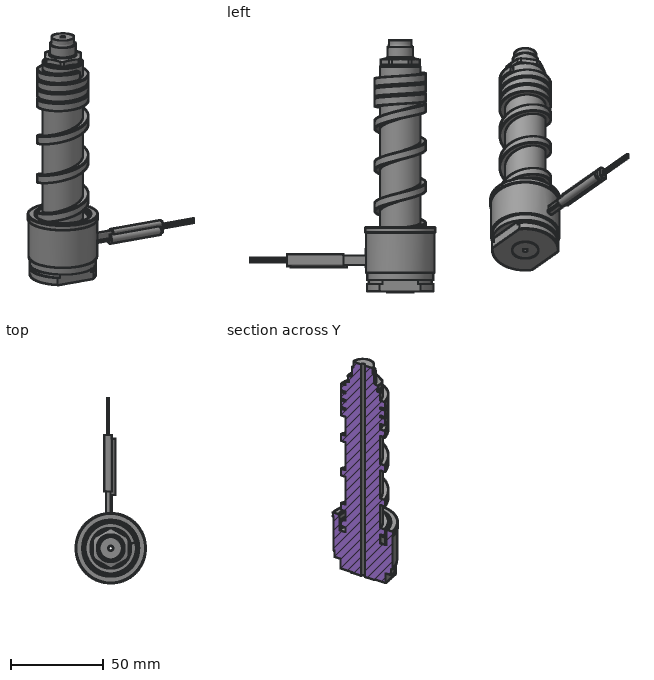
import cadquery as cq
import math

FOOT_BOTTOM = 0.4
FOOT_TOP = 4.6
FLANGE_BOTTOM = 6.6
BODY_BOTTOM = 10.5
COLLAR_BOTTOM = 32.1
COLLAR_TOP = 35.2
SHAFT_TOP = 122.1
HEX_BOTTOM = 122.9
HEX_TOP = 125.6
CONE_TOP = 126.35
FITTING_BOTTOM = 126.9
FITTING_TOP = 132.3
TIP_BOTTOM = 133.6
TIP_TOP = 136.2

PAD_RADIUS = 7.1
FOOT_RADIUS = 18.0
FOOT_GROOVE_RADIUS = 17.1
FLANGE_RADIUS = 17.9
BODY_RADIUS = 18.6
COLLAR_RADIUS = 19.0
POCKET_RADIUS = 14.7
SHAFT_RADIUS = 11.0
NECK_RADIUS = 9.0
FITTING_RADIUS = 7.0
CONE_TOP_RADIUS = 7.5
TIP_NECK_RADIUS = 6.4
TIP_RADIUS = 6.1
BORE_RADIUS = 1.25

EDGE_CHAMFER = 0.4
POCKET_CHAMFER = 0.7
FOOT_WIDTH = 28.4

HEX_ACROSS_FLATS = 19.2
HEX_CORNER_RADIUS = 10.6
HEX_TURN = 30

SPRING_OUTER_RADIUS = 13.9
SPRING_OVERLAP = 0.3
COIL_HEIGHT = 4.6
COIL_CHAMFER = 0.3
CLOSED_PITCH = 5.36
OPEN_PITCH = 22.2
SPRING_TOP_ANGLE = 13.0
SPRING_TOP_Z = 117.5
TOP_CLOSED_SWEEP = 1150.0
TRANSITION_SWEEP = 139.0
OPEN_SWEEP = 924.0
BOTTOM_CLOSED_SWEEP = 360.0
SPLINE_STEP = 15.0

LEAD_X = -1.43
LEAD_Z = 17.4
LEAD_START = 17.0
LEAD_WIDTH = 2.45
LEAD_HEIGHT = 5.2
LEAD_CORNER = 0.5
SLEEVE_START = 30.7
SLEEVE_END = 61.1
SLEEVE_WIDTH = 4.15
SLEEVE_HEIGHT = 6.6
SLEEVE_CORNER = 1.25
WIRE_END = 81.0
WIRE_RADIUS = 0.5
WIRE_SPACING = 1.7

SIDE_WIRE_X = 0.1
SIDE_WIRE_Z = 15.95
SIDE_SLEEVE_RADIUS = 2.55
SIDE_SLEEVE_SETBACK = 2.0


def spring_drop(turned):
    """Height lost by the wire after turning this many degrees down from its top end."""
    stages = [
        (TOP_CLOSED_SWEEP, CLOSED_PITCH, CLOSED_PITCH),
        (TRANSITION_SWEEP, CLOSED_PITCH, OPEN_PITCH),
        (OPEN_SWEEP, OPEN_PITCH, OPEN_PITCH),
        (TRANSITION_SWEEP, OPEN_PITCH, CLOSED_PITCH),
        (BOTTOM_CLOSED_SWEEP, CLOSED_PITCH, CLOSED_PITCH),
    ]
    drop = 0.0
    for sweep, start_pitch, end_pitch in stages:
        part = min(max(turned, 0.0), sweep)
        pitch_here = start_pitch + (end_pitch - start_pitch) * part / sweep
        drop += (start_pitch + pitch_here) / 2 * part / 360
        turned -= sweep
    return drop


SPRING_SWEEP = TOP_CLOSED_SWEEP + 2 * TRANSITION_SWEEP + OPEN_SWEEP + BOTTOM_CLOSED_SWEEP
SPRING_BOTTOM_Z = SPRING_TOP_Z - spring_drop(SPRING_SWEEP)
POCKET_FLOOR = SPRING_BOTTOM_Z - COIL_HEIGHT / 2


def revolve_profile(points):
    return cq.Workplane("XZ").polyline(points).close().revolve(360, (0, 0, 0), (0, 1, 0))


def make_body():
    """Housing with its foot, flange, collar and the spring pocket around the shaft."""
    body = revolve_profile([
        (0, 0),
        (PAD_RADIUS, 0),
        (PAD_RADIUS, FOOT_BOTTOM),
        (FOOT_RADIUS - EDGE_CHAMFER, FOOT_BOTTOM),
        (FOOT_RADIUS, FOOT_BOTTOM + EDGE_CHAMFER),
        (FOOT_RADIUS, FOOT_TOP),
        (FOOT_GROOVE_RADIUS, FOOT_TOP),
        (FOOT_GROOVE_RADIUS, FLANGE_BOTTOM),
        (FLANGE_RADIUS, FLANGE_BOTTOM),
        (FLANGE_RADIUS, BODY_BOTTOM),
        (BODY_RADIUS - EDGE_CHAMFER, BODY_BOTTOM),
        (BODY_RADIUS, BODY_BOTTOM + EDGE_CHAMFER),
        (BODY_RADIUS, COLLAR_BOTTOM),
        (COLLAR_RADIUS, COLLAR_BOTTOM + EDGE_CHAMFER),
        (COLLAR_RADIUS, COLLAR_TOP - EDGE_CHAMFER),
        (COLLAR_RADIUS - EDGE_CHAMFER, COLLAR_TOP),
        (POCKET_RADIUS + POCKET_CHAMFER, COLLAR_TOP),
        (POCKET_RADIUS, COLLAR_TOP - POCKET_CHAMFER),
        (POCKET_RADIUS, POCKET_FLOOR),
        (0, POCKET_FLOOR),
    ])
    side_width = 2 * COLLAR_RADIUS
    for side in (-1, 1):
        flat_cut = cq.Workplane("XY").box(side_width, side_width, FLANGE_BOTTOM, centered=(True, True, False))
        body = body.cut(flat_cut.translate((side * (FOOT_WIDTH + side_width) / 2, 0, 0)))
    return body


def make_shaft():
    """Shaft from the pocket floor up to the stepped tip, without the hexagon."""
    return revolve_profile([
        (0, POCKET_FLOOR),
        (SHAFT_RADIUS, POCKET_FLOOR),
        (SHAFT_RADIUS, SHAFT_TOP - EDGE_CHAMFER),
        (SHAFT_RADIUS - EDGE_CHAMFER, SHAFT_TOP),
        (NECK_RADIUS, SHAFT_TOP),
        (NECK_RADIUS, HEX_BOTTOM),
        (FITTING_RADIUS, HEX_BOTTOM),
        (FITTING_RADIUS, FITTING_TOP),
        (TIP_NECK_RADIUS, FITTING_TOP),
        (TIP_RADIUS, TIP_BOTTOM),
        (TIP_RADIUS, TIP_TOP),
        (0, TIP_TOP),
    ])


def make_hexagon():
    """Hexagon with flats facing +X and -X, under a shallow conical top."""
    blank = revolve_profile([
        (0, HEX_BOTTOM),
        (HEX_CORNER_RADIUS, HEX_BOTTOM),
        (HEX_CORNER_RADIUS, HEX_TOP),
        (CONE_TOP_RADIUS, CONE_TOP),
        (FITTING_RADIUS, FITTING_BOTTOM),
        (0, FITTING_BOTTOM),
    ])
    across_corners = HEX_ACROSS_FLATS / math.cos(math.radians(HEX_TURN))
    prism = cq.Workplane("XY").polygon(6, across_corners).extrude(TIP_TOP)
    return blank.intersect(prism.rotate((0, 0, 0), (0, 0, 1), HEX_TURN))


def coil_point(turned, radius, rise):
    """Point on the coil at a radius, raised by rise above the middle of the wire."""
    angle = math.radians(SPRING_TOP_ANGLE - turned)
    height = SPRING_TOP_Z - spring_drop(turned) + rise
    return cq.Vector(radius * math.cos(angle), radius * math.sin(angle), height)


def make_spring():
    """Rectangular wire with chamfered outer edges, coiled around the shaft, closing up at both ends."""
    inner_radius = SHAFT_RADIUS - SPRING_OVERLAP
    half_height = COIL_HEIGHT / 2
    corners = [
        (inner_radius, -half_height),
        (SPRING_OUTER_RADIUS - COIL_CHAMFER, -half_height),
        (SPRING_OUTER_RADIUS, COIL_CHAMFER - half_height),
        (SPRING_OUTER_RADIUS, half_height - COIL_CHAMFER),
        (SPRING_OUTER_RADIUS - COIL_CHAMFER, half_height),
        (inner_radius, half_height),
    ]
    step_count = round(SPRING_SWEEP / SPLINE_STEP)
    turns = [SPRING_SWEEP * step / step_count for step in range(step_count + 1)]
    edges = [
        cq.Edge.makeSpline([coil_point(turned, radius, rise) for turned in turns])
        for radius, rise in corners
    ]
    faces = [cq.Face.makeRuledSurface(edges[i - 1], edges[i]) for i in range(len(edges))]
    for end in (0, SPRING_SWEEP):
        end_corners = [coil_point(end, radius, rise) for radius, rise in corners]
        faces.append(cq.Face.makeFromWires(cq.Wire.makePolygon(end_corners, close=True)))
    return cq.Workplane(cq.Solid.makeSolid(cq.Shell.makeShell(faces)))


def rounded_bar(width, height, corner, start, end):
    """Bar along Y on the lead's centre line, with its long edges rounded."""
    bar = cq.Workplane("XY").box(width, end - start, height).edges("|Y").fillet(corner)
    return bar.translate((LEAD_X, (start + end) / 2, LEAD_Z))


def round_rod(x, z, radius, start, end):
    """Round rod along Y."""
    return cq.Workplane("XZ", origin=(x, end, z)).circle(radius).extrude(end - start)


def make_lead():
    """Flat lead, its sleeve and the two wires beyond the sleeve."""
    lead = rounded_bar(LEAD_WIDTH, LEAD_HEIGHT, LEAD_CORNER, LEAD_START, SLEEVE_END)
    lead = lead.union(rounded_bar(SLEEVE_WIDTH, SLEEVE_HEIGHT, SLEEVE_CORNER, SLEEVE_START, SLEEVE_END))
    for side in (-1, 1):
        wire_z = LEAD_Z + side * WIRE_SPACING / 2
        lead = lead.union(round_rod(LEAD_X, wire_z, WIRE_RADIUS, SLEEVE_START, WIRE_END))
    return lead


def make_side_wire():
    """Single wire with its round sleeve."""
    start = SLEEVE_START - SIDE_SLEEVE_SETBACK
    end = SLEEVE_END - SIDE_SLEEVE_SETBACK
    wire = round_rod(SIDE_WIRE_X, SIDE_WIRE_Z, WIRE_RADIUS, LEAD_START, end)
    return wire.union(round_rod(SIDE_WIRE_X, SIDE_WIRE_Z, SIDE_SLEEVE_RADIUS, start, end))


bore = cq.Workplane("XY").circle(BORE_RADIUS).extrude(TIP_TOP)

result = (
    make_body()
    .union(make_shaft())
    .union(make_hexagon())
    .union(make_spring())
    .union(make_lead())
    .union(make_side_wire())
    .cut(bore)
)